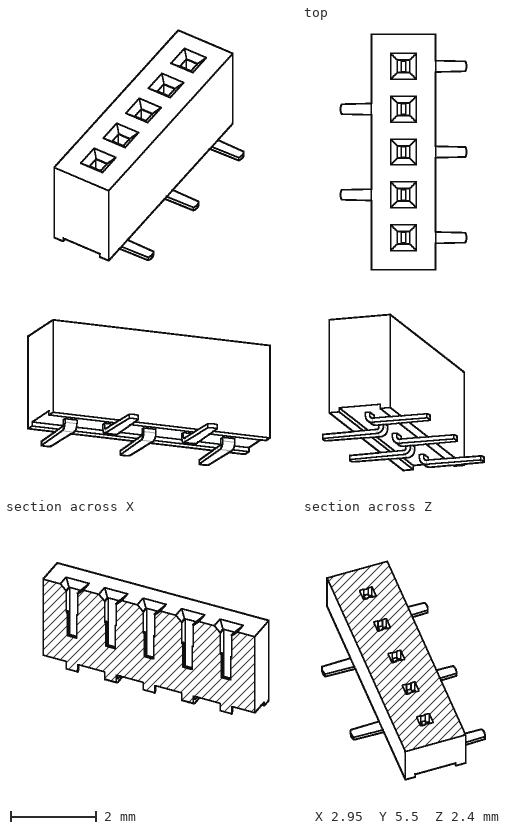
import cadquery as cq

pin_count = 5
length = 5.5
pitch = length / (pin_count + 0.5)
width = 1.5
top_z = 2.4
foot_z = 0.15
foot_width = 0.25
channel_height = 0.1

mouth_size = 0.6
hole_size = 0.3
hole_length = 0.275
mouth_depth = (mouth_size - hole_size) / 2
socket_depth = 1.5

stem_thickness = 0.11
foot_thickness = 0.1
contact_width = hole_size
fork_base_height = 0.1
fork_height = 0.75
tine_thickness = 0.015
lead_reach = 1.475
tip_width = 0.235
tip_bulge = 0.03
bend_radius = 0.055

socket_floor_z = top_z - socket_depth


def make_housing():
    block = cq.Workplane("XY").box(width, length, top_z - foot_z, centered=(True, True, False))
    channel = cq.Workplane("XY").box(
        width - 2 * foot_width, length, channel_height, centered=(True, True, False)
    )
    return block.cut(channel).translate((0, 0, foot_z))


def make_socket():
    """Square hole with a sloped mouth, centred on the Z axis."""
    hole = (
        cq.Workplane("XY")
        .workplane(offset=socket_floor_z)
        .rect(hole_size, hole_length)
        .extrude(socket_depth)
    )
    mouth = (
        cq.Workplane("XY")
        .workplane(offset=top_z)
        .rect(mouth_size, mouth_size)
        .workplane(offset=-mouth_depth)
        .rect(hole_size, hole_size)
        .loft(combine=True)
    )
    return hole.union(mouth)


def make_fork():
    """Upper end of a contact: a low bar with a slope-tipped tine against each end wall."""
    half = hole_length / 2
    inner = half - tine_thickness
    bar_z = socket_floor_z + fork_base_height
    tip_z = socket_floor_z + fork_height
    return (
        cq.Workplane("YZ")
        .moveTo(-half, socket_floor_z)
        .lineTo(-half, tip_z)
        .lineTo(-inner, tip_z - tine_thickness)
        .lineTo(-inner, bar_z)
        .lineTo(inner, bar_z)
        .lineTo(inner, tip_z - tine_thickness)
        .lineTo(half, tip_z)
        .lineTo(half, socket_floor_z)
        .close()
        .extrude(stem_thickness / 2, both=True)
    )


def make_lead():
    """Stem below the housing, bent towards +X into a tapered foot."""
    stem_side = stem_thickness / 2
    outer_radius = bend_radius + stem_thickness
    bend_end = stem_side + bend_radius
    bend = (
        cq.Workplane("XZ")
        .moveTo(-stem_side, socket_floor_z)
        .lineTo(-stem_side, outer_radius)
        .radiusArc((bend_end, 0), -outer_radius)
        .lineTo(bend_end, foot_thickness)
        .radiusArc((stem_side, foot_thickness + bend_radius), bend_radius)
        .lineTo(stem_side, socket_floor_z)
        .close()
        .extrude(contact_width / 2, both=True)
    )
    foot = (
        cq.Workplane("XY")
        .moveTo(bend_end, -contact_width / 2)
        .lineTo(lead_reach - tip_bulge, -tip_width / 2)
        .threePointArc((lead_reach, 0), (lead_reach - tip_bulge, tip_width / 2))
        .lineTo(bend_end, contact_width / 2)
        .close()
        .extrude(foot_thickness)
    )
    return bend.union(foot)


socket = make_socket()
fork = make_fork()
lead_right = make_lead()
lead_left = lead_right.rotate((0, 0, 0), (0, 0, 1), 180)

result = make_housing()
for pin in range(pin_count):
    place = (0, (pin - (pin_count - 1) / 2) * pitch, 0)
    lead = lead_right if pin % 2 == 0 else lead_left
    result = result.cut(socket.translate(place))
    result = result.union(fork.translate(place)).union(lead.translate(place))